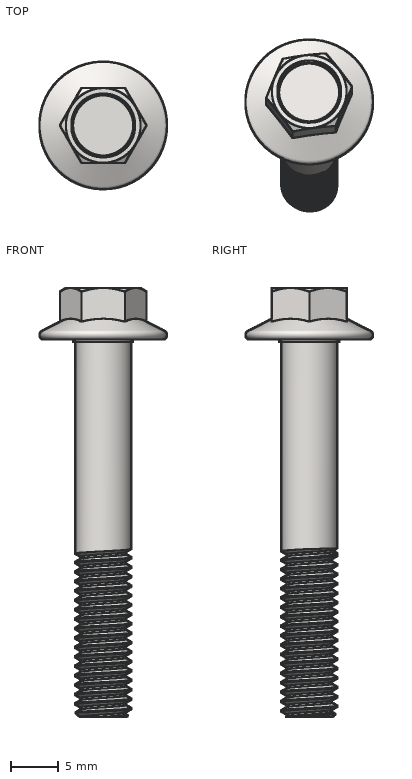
import cadquery as cq
import math

total_length = 45.65

across_flats = 8.0
across_corners = across_flats / math.cos(math.radians(30))
crown_diameter = 7.95
crown_angle = 32.0

recess_mouth_diameter = 6.8
recess_diameter = 6.4
recess_depth = 0.65
recess_chamfer_angle = 45

flange_diameter = 13.6
flange_bottom = 40.1
flange_edge_radius = 0.5
flange_slope = 27.0
cone_overlap = 0.45
collar_diameter = 6.4
collar_bottom = 39.9

shank_diameter = 6.0
shank_radius = shank_diameter / 2
tip_chamfer = 0.5

groove_start = -0.6
groove_end = 17.45
thread_turns = 18
pitch = (groove_end - groove_start) / thread_turns
root_diameter = 4.9
root_radius = root_diameter / 2
root_flat = pitch / 4
flank_half_angle = math.radians(30)
groove_overshoot = 0.025
rod_seam_angle = 77
runout_angle = math.pi
steps_per_turn = 24


def make_flange():
    """Disc with a rounded edge and a conical top that runs into the hexagon."""
    slope = math.radians(flange_slope)
    edge_center_r = flange_diameter / 2 - flange_edge_radius
    edge_center_z = flange_bottom + flange_edge_radius
    cone_r = edge_center_r + flange_edge_radius * math.sin(slope)
    cone_z = edge_center_z + flange_edge_radius * math.cos(slope)
    cone_top_r = across_flats / 2 - cone_overlap
    cone_top_z = cone_z + (cone_r - cone_top_r) * math.tan(slope)
    return (
        cq.Workplane("XZ")
        .moveTo(0, flange_bottom)
        .lineTo(edge_center_r, flange_bottom)
        .threePointArc((flange_diameter / 2, edge_center_z), (cone_r, cone_z))
        .lineTo(cone_top_r, cone_top_z)
        .lineTo(0, cone_top_z)
        .close()
        .revolve(360, (0, 0), (0, 1))
    )


def make_hexagon():
    """Hexagonal prism whose top corners are cut back by a cone."""
    height = total_length - flange_bottom
    prism = (
        cq.Workplane("XY", origin=(0, 0, flange_bottom))
        .polygon(6, across_corners)
        .extrude(height)
    )
    crown_r = crown_diameter / 2
    cone_r = crown_r + height / math.tan(math.radians(crown_angle))
    crown = (
        cq.Workplane("XZ")
        .polyline([(0, flange_bottom), (cone_r, flange_bottom), (crown_r, total_length), (0, total_length)])
        .close()
        .revolve(360, (0, 0), (0, 1))
    )
    return prism.intersect(crown)


def make_recess():
    """Disc with a widened mouth, removed from the top of the head."""
    mouth_chamfer = (recess_mouth_diameter - recess_diameter) / 2
    disc = cq.Workplane("XY", origin=(0, 0, total_length)).circle(recess_diameter / 2).extrude(-recess_depth)
    mouth = (
        cq.Workplane("XY", origin=(0, 0, total_length))
        .circle(recess_mouth_diameter / 2)
        .extrude(-mouth_chamfer, taper=recess_chamfer_angle)
    )
    return disc.union(mouth)


def make_shank():
    """Plain rod with a chamfered tip, and the collar under the flange."""
    rod = cq.Workplane("XY").circle(shank_radius).extrude(flange_bottom).faces("<Z").chamfer(tip_chamfer)
    collar = (
        cq.Workplane("XY", origin=(0, 0, collar_bottom))
        .circle(collar_diameter / 2)
        .extrude(flange_bottom - collar_bottom)
    )
    return rod.union(collar)


groove_outer_radius = shank_radius + groove_overshoot
groove_height = groove_outer_radius - root_radius
root_half = root_flat / 2
mouth_half = root_half + groove_height * math.tan(flank_half_angle)
groove_section = [
    (root_radius, -root_half),
    (groove_outer_radius, -mouth_half),
    (groove_outer_radius, mouth_half),
    (root_radius, root_half),
]


def groove_point(radius, offset, angle):
    """Section point on the helix; past angle zero the groove drifts outward."""
    drift = groove_height * max(angle, 0) / runout_angle
    r = radius + drift
    z = groove_end + offset + pitch * angle / (2 * math.pi)
    return cq.Vector(r * math.cos(angle), r * math.sin(angle), z)


def make_groove(start_angle, end_angle):
    """Solid that follows the groove section between two angles along the helix."""
    sweep_angle = end_angle - start_angle
    steps = round(steps_per_turn * sweep_angle / (2 * math.pi))
    angles = [start_angle + sweep_angle * i / steps for i in range(steps + 1)]
    rails = [cq.Edge.makeSpline([groove_point(r, z, a) for a in angles]) for r, z in groove_section]
    faces = [cq.Face.makeRuledSurface(rails[i - 1], rails[i]) for i in range(len(rails))]
    for angle in (start_angle, end_angle):
        corners = [groove_point(r, z, angle) for r, z in groove_section]
        faces.append(cq.Face.makeFromWires(cq.Wire.makePolygon(corners, close=True)))
    return cq.Workplane(cq.Solid.makeSolid(cq.Shell.makeShell(faces)))


def cut_thread(rod):
    """Cut the fading end of the groove, then its full-depth turns one after another."""
    threaded = rod.cut(make_groove(0, runout_angle), clean=False)
    one_turn = make_groove(-2 * math.pi, 0)
    for turn in range(thread_turns):
        threaded = threaded.cut(one_turn.translate((0, 0, -turn * pitch)), clean=False)
    return threaded


head = make_flange().union(make_hexagon()).cut(make_recess())
shank = cut_thread(make_shank().rotate((0, 0, 0), (0, 0, 1), rod_seam_angle))
result = head.union(shank, clean=False)